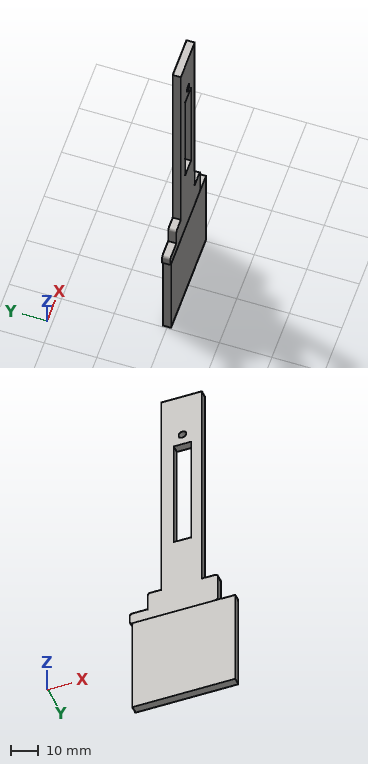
import cadquery as cq

thickness = 3.1
total_height = 149.4

blade_width = 40.0
blade_height = 42.3
blade_left = 1.0

base_right = 34.4
base_height = 12.8
step_width = 7.0
step_height = 5.0
corner_radius = 1.2

stem_left = 12.2
stem_width = 15.8

window_left = 17.2
window_width = 6.7
window_bottom = 77.4
window_height = 48.1
hole_diameter = 3.0
hole_height = 130.2

stem_right = stem_left + stem_width
window_center_x = window_left + window_width / 2
window_center_z = window_bottom + window_height / 2
base_bottom = blade_height
base_top = base_bottom + base_height
step_top = base_bottom + step_height


def front_plane():
    """Workplane on the front face (Y = 0); positive extrusion runs toward -Y."""
    return cq.Workplane("XZ")


def make_blade():
    return (
        front_plane()
        .moveTo(blade_left, 0)
        .rect(blade_width, blade_height, centered=False)
        .extrude(-thickness)
    )


def round_corner(body, x, z):
    """Round the outline corner at (x, z) through the full thickness."""
    edge = cq.selectors.NearestToPointSelector((x, thickness / 2, z))
    return body.edges("|Y").edges(edge).fillet(corner_radius)


def make_handle():
    outline = [
        (0, base_bottom),
        (base_right, base_bottom),
        (base_right, base_top),
        (stem_right, base_top),
        (stem_right, total_height),
        (stem_left, total_height),
        (stem_left, base_top),
        (step_width, base_top),
        (step_width, step_top),
        (0, step_top),
    ]
    handle = front_plane().polyline(outline).close().extrude(-thickness)

    rounded_corners = [
        (0, base_bottom),
        (base_right, base_bottom),
        (base_right, base_top),
        (step_width, base_top),
        (0, step_top),
    ]
    for x, z in rounded_corners:
        handle = round_corner(handle, x, z)

    window = (
        front_plane()
        .center(window_center_x, window_center_z)
        .rect(window_width, window_height)
        .extrude(-thickness)
    )
    hole = (
        front_plane()
        .center(window_center_x, hole_height)
        .circle(hole_diameter / 2)
        .extrude(-thickness)
    )
    return handle.cut(window).cut(hole)


blade = make_blade()
handle = make_handle()

result = cq.Compound.makeCompound([blade.val(), handle.val()])